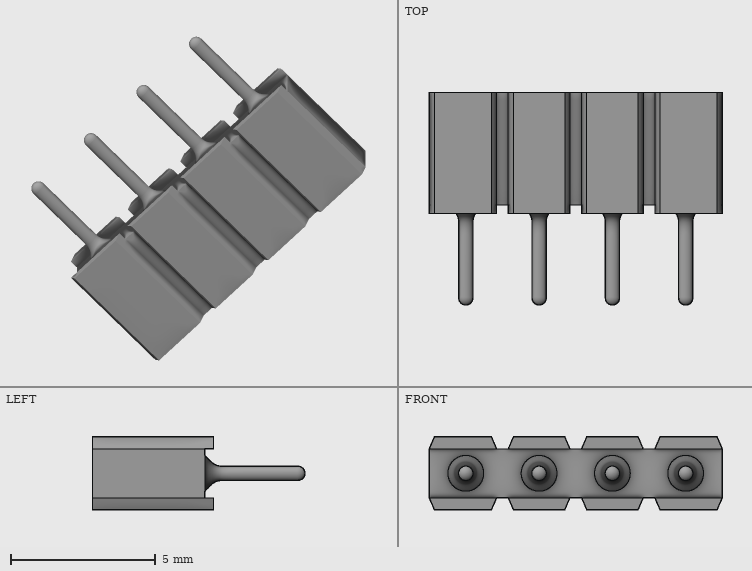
import cadquery as cq
import math

pin_count = 4
pitch = 2.54

housing_length = pin_count * pitch
housing_height = 2.54
pad_height = 0.42
core_height = housing_height - 2 * pad_height
core_depth = 3.9
pad_depth = 4.2
pad_gap = 0.4
pad_taper = 0.18

overall_depth = 7.37
pin_radius = 0.25
cone_length = 0.22
cone_base_radius = 0.62
cone_end_radius = cone_base_radius - cone_length
cone_angle = math.radians(45)
diagonal = math.sin(cone_angle)
blend_radius = (cone_end_radius - pin_radius) / (1 - diagonal)

core_front = -core_depth
pin_tip = -overall_depth
pin_centers = [(i - (pin_count - 1) / 2) * pitch for i in range(pin_count)]


def make_core():
    """Plain bar joining all the pins."""
    return cq.Workplane("XY").box(
        housing_length, core_depth, core_height, centered=(True, False, True)
    ).translate((0, core_front, 0))


def make_pad(index):
    """Upper pad above one pin; pads at the row ends reach the housing end."""
    center = pin_centers[index]
    left = center - pitch / 2
    right = center + pitch / 2
    if index > 0:
        left += pad_gap / 2
    if index < pin_count - 1:
        right -= pad_gap / 2
    base = core_height / 2
    top = housing_height / 2
    outline = [
        (left, base),
        (right, base),
        (right - pad_taper, top),
        (left + pad_taper, top),
    ]
    return cq.Workplane("XZ").polyline(outline).close().extrude(pad_depth)


def make_pin(center):
    """Pin revolved about its own axis, along Y."""
    cone_end = core_front - cone_length
    shaft_start = cone_end - blend_radius * diagonal
    dome_start = pin_tip + pin_radius
    arc_center_radius = pin_radius + blend_radius
    half_angle = cone_angle / 2
    blend_middle = (
        arc_center_radius - blend_radius * math.cos(half_angle),
        shaft_start + blend_radius * math.sin(half_angle),
    )
    dome_middle = (pin_radius * diagonal, dome_start - pin_radius * diagonal)
    profile = (
        cq.Workplane("XY")
        .moveTo(0, core_front)
        .lineTo(cone_base_radius, core_front)
        .lineTo(cone_end_radius, cone_end)
        .threePointArc(blend_middle, (pin_radius, shaft_start))
        .lineTo(pin_radius, dome_start)
        .threePointArc(dome_middle, (0, pin_tip))
        .close()
    )
    return profile.revolve(360, (0, 0, 0), (0, 1, 0)).translate((center, 0, 0))


result = make_core()
for pin_index, pin_center in enumerate(pin_centers):
    upper_pad = make_pad(pin_index)
    result = result.union(upper_pad).union(upper_pad.mirror("XY"))
    result = result.union(make_pin(pin_center))